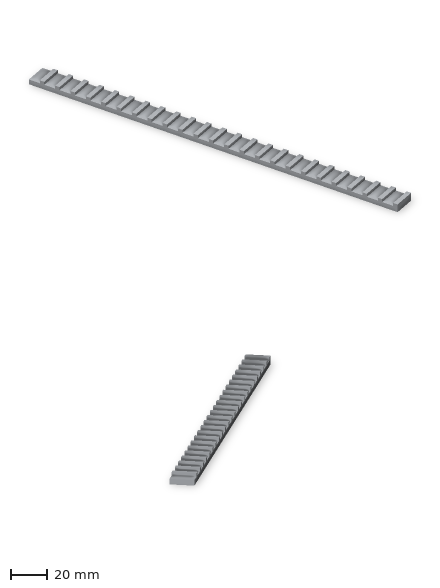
import cadquery as cq

strip_length = 240.0
strip_width = 14.0
total_height = 5.0
base_height = 3.0
rib_count = 24
rib_width = 3.0

rib_height = total_height - base_height
rib_pitch = strip_length / rib_count
first_rib_start = rib_pitch - rib_width


def block(start, length, bottom, height):
    """Full-width block beginning at the given X and Z positions."""
    return (
        cq.Workplane("XY")
        .box(length, strip_width, height, centered=(False, True, False))
        .translate((start, 0, bottom))
    )


result = block(0, strip_length, 0, base_height)

for index in range(rib_count):
    rib_start = first_rib_start + index * rib_pitch
    result = result.union(block(rib_start, rib_width, base_height, rib_height))